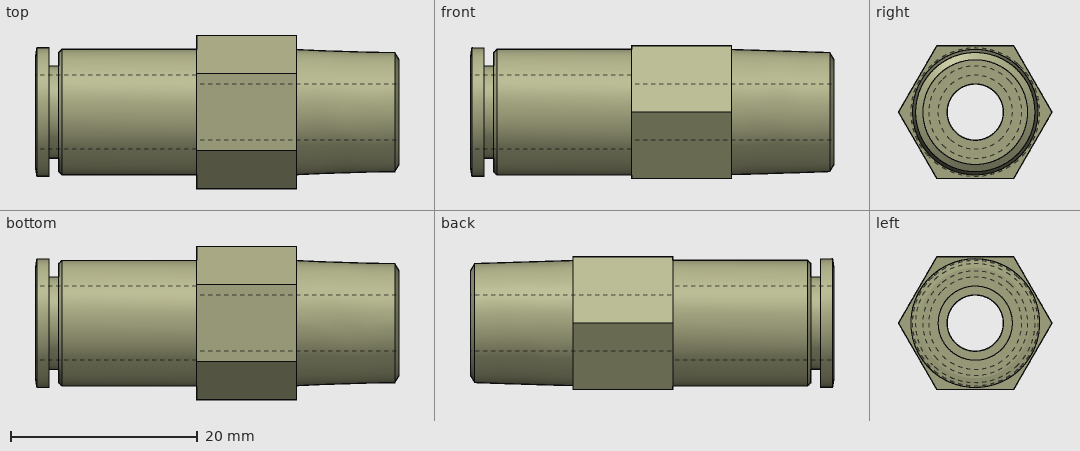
import cadquery as cq
import math

total_length = 39.0
collar_width = 1.5
neck_width = 1.0
hex_start = 17.28
hex_width = 10.72
hex_end = hex_start + hex_width
body_start = collar_width + neck_width

collar_diameter = 13.8
collar_face_diameter = 11.85
neck_diameter = 9.95
body_diameter = 13.5
thread_diameter = 13.45
thread_taper = 1 / 16
thread_face_diameter = 11.25
hex_across_flats = 14.27
tube_bore_diameter = 7.95
through_bore_diameter = 6.0

collar_bevel_length = 0.15
body_chamfer = 0.35
thread_bevel_length = 0.45

tube_bore_depth = hex_start


def cylinder(start, length, diameter):
    """Solid cylinder on the X axis."""
    return cq.Workplane("YZ", origin=(start, 0, 0)).circle(diameter / 2).extrude(length)


def cone(start, length, start_diameter, end_diameter):
    """Solid truncated cone on the X axis."""
    return cq.Workplane(
        cq.Solid.makeCone(
            start_diameter / 2, end_diameter / 2, length, cq.Vector(start, 0, 0), cq.Vector(1, 0, 0)
        )
    )


def release_collar():
    """Collar with a shallow bevelled face, and the neck behind it."""
    bevel = cone(0, collar_bevel_length, collar_face_diameter, collar_diameter)
    rim = cylinder(collar_bevel_length, collar_width - collar_bevel_length, collar_diameter)
    neck = cylinder(collar_width, neck_width, neck_diameter)
    return bevel.union(rim).union(neck)


def body():
    """Round body, chamfered at the end that faces the collar."""
    return cylinder(body_start, hex_start - body_start, body_diameter).faces("<X").chamfer(body_chamfer)


def hexagon():
    """Wrench hexagon with corners on the Y axis and flats at the top and bottom."""
    across_corners = hex_across_flats / math.cos(math.pi / 6)
    return cq.Workplane("YZ", origin=(hex_start, 0, 0)).polygon(6, across_corners).extrude(hex_width)


def thread_end():
    """Plain tapered thread envelope with a bevelled tip."""
    taper_length = total_length - hex_end - thread_bevel_length
    tip_diameter = thread_diameter - thread_taper * taper_length
    taper = cone(hex_end, taper_length, thread_diameter, tip_diameter)
    bevel = cone(hex_end + taper_length, thread_bevel_length, tip_diameter, thread_face_diameter)
    return taper.union(bevel)


outside = release_collar().union(body()).union(hexagon()).union(thread_end())
tube_bore = cylinder(0, tube_bore_depth, tube_bore_diameter)
through_bore = cylinder(0, total_length, through_bore_diameter)
result = outside.cut(tube_bore).cut(through_bore)